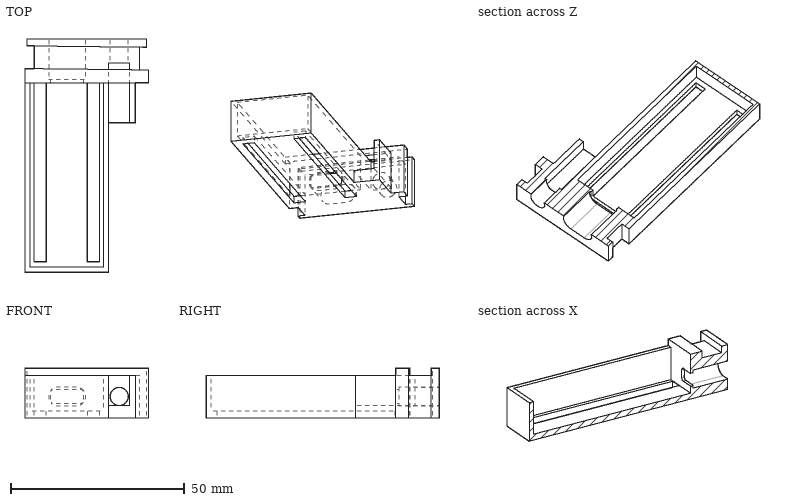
import cadquery as cq

length = 67.4
width = 35.7
total_height = 14.4
body_height = 12.35

tray_width = 24.2
wall = 1.5
floor_thickness = 2.0
slot_width = 3.45
slot_inset = 2.7
slot_front = 3.1
slot_rear = 54.6

flange_front = 54.7
flange_rear_left = 58.85
flange_rear_right = 58.45
neck_left = 2.7
neck_right = 33.15
rear_flange_left = 0.6
rear_flange_right = 35.2
rear_front_left = 65.4
rear_front_right = 65.0

block_right = 31.9
block_front = 43.15
channel_width = 6.05
channel_floor = 3.65
channel_end = 60.4
bore_diameter = 5.2
bore_x = tray_width + channel_width / 2
bore_z = channel_floor + bore_diameter / 2

socket_x = 12.2
socket_z = bore_z
window_width = 9.6
window_height = 4.0
window_corner = 0.8
window_depth = 0.95
cavity_diameter = 5.6
cavity_width = 10.6


def box(x0, x1, y0, y1, z0, z1):
    """Axis-aligned block between the given limits."""
    return cq.Workplane("XY").box(x1 - x0, y1 - y0, z1 - z0, centered=False).translate((x0, y0, z0))


def plate(corners, height):
    """Upright plate with the given plan outline, standing on the base plane."""
    return cq.Workplane("XY").polyline(corners).close().extrude(height)


def facing_rear(x, y, z):
    """Sketch plane at the given point whose extrusions run toward +Y."""
    return cq.Workplane(cq.Plane(origin=(x, y, z), xDir=(1, 0, 0), normal=(0, 1, 0)))


def make_tray():
    tray = box(0, tray_width, 0, flange_front, 0, body_height)
    tray = tray.cut(box(wall, tray_width - wall, wall, flange_front, floor_thickness, body_height))
    for left in (slot_inset, tray_width - slot_inset - slot_width):
        tray = tray.cut(box(left, left + slot_width, slot_front, slot_rear, 0, floor_thickness))
    return tray


def make_connector_end():
    front_flange = plate(
        [(0, flange_front), (width, flange_front), (width, flange_rear_right), (0, flange_rear_left)],
        total_height,
    )
    rear_flange = plate(
        [
            (rear_flange_left, rear_front_left),
            (rear_flange_right, rear_front_right),
            (rear_flange_right, length),
            (rear_flange_left, length),
        ],
        total_height,
    )
    neck = box(neck_left, neck_right, flange_front, length, 0, body_height)
    return front_flange.union(neck).union(rear_flange)


def make_socket():
    window = facing_rear(socket_x, flange_front, socket_z).rect(window_width, window_height)
    window = window.extrude(window_depth).edges("|Y").fillet(window_corner)
    cavity_front = flange_front + window_depth
    cavity = facing_rear(socket_x, cavity_front, socket_z).slot2D(cavity_width, cavity_diameter)
    return window.union(cavity.extrude(length - cavity_front))


block = box(tray_width, block_right, block_front, flange_front, 0, body_height)
channel = box(tray_width, tray_width + channel_width, block_front, channel_end, channel_floor, body_height)
bore = facing_rear(bore_x, channel_end, bore_z).circle(bore_diameter / 2).extrude(length - channel_end)

result = make_tray().union(make_connector_end()).union(block)
result = result.cut(channel).cut(bore).cut(make_socket())